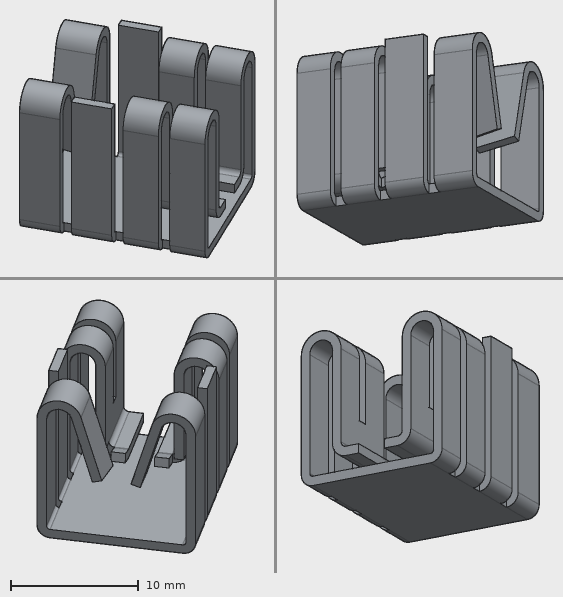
import cadquery as cq
import math

length = 15.24
width = 12.7
height = 12.7
sheet = 0.78

wide_finger = 3.32
narrow_finger = 2.9
gap = (length - 2 * wide_finger - 2 * narrow_finger) / 3
post_start = wide_finger + gap
rail_start = post_start + wide_finger + gap
last_start = rail_start + narrow_finger + gap

base_inner_radius = 0.27
base_radius = base_inner_radius + sheet
hook_inner_radius = 1.02
hook_radius = hook_inner_radius + sheet
flange_inner_radius = 0.43
flange_radius = flange_inner_radius + sheet

leg_angle = 16.5
leg_short = 5.84
leg_long = 6.46

slot_bottom = 5.8
flange_bottom = 1.97
flange_width = 1.16
tab_length = 1.35
tab_angle = 14.0

outer_face = -width / 2
hook_y = outer_face + hook_radius
hook_z = height - hook_radius
inner_wall_y = hook_y + hook_inner_radius
flange_bend_y = inner_wall_y + flange_radius
flange_bend_z = flange_bottom + flange_radius


def block(x, y, z, size_x, size_y, size_z):
    """Box given by its lowest corner and its size."""
    return cq.Workplane("XY").box(size_x, size_y, size_z, centered=False).translate((x, y, z))


def polar(center, radius, angle):
    """Point on a circle, with the angle in degrees."""
    turn = math.radians(angle)
    return (center[0] + radius * math.cos(turn), center[1] + radius * math.sin(turn))


def bend(plane, center, inner_radius, start, end):
    """Sketch of a sheet bend: a ring sector between two angles."""
    outer_radius = inner_radius + sheet
    middle = (start + end) / 2
    return (
        plane.moveTo(*polar(center, inner_radius, start))
        .lineTo(*polar(center, outer_radius, start))
        .threePointArc(polar(center, outer_radius, middle), polar(center, outer_radius, end))
        .lineTo(*polar(center, inner_radius, end))
        .threePointArc(polar(center, inner_radius, middle), polar(center, inner_radius, start))
        .close()
    )


def cross_bend(x, size_x, center, inner_radius, start, end):
    """Bend with its axis along X."""
    plane = cq.Workplane("YZ", origin=(x, 0, 0))
    return bend(plane, center, inner_radius, start, end).extrude(size_x)


def finger(x, size_x, top):
    """Upright finger with the bend that joins it to the base."""
    corner = (outer_face + base_radius, base_radius)
    wall = block(x, outer_face, base_radius, size_x, sheet, top - base_radius)
    return wall.union(cross_bend(x, size_x, corner, base_inner_radius, 180, 270))


def hooked_finger(x, size_x, end_angle):
    """Finger whose top curls inward, down to the given angle of the curl."""
    curl = cross_bend(x, size_x, (hook_y, hook_z), hook_inner_radius, end_angle, 180)
    return finger(x, size_x, hook_z).union(curl)


def front_leg():
    """Sloping leg that hangs from the front hook."""
    tangent_y, tangent_z = polar((hook_y, hook_z), hook_radius, leg_angle)
    normal_y, normal_z = polar((0, 0), 1, leg_angle)
    face = cq.Plane(origin=(0, tangent_y, tangent_z), xDir=(1, 0, 0), normal=(0, normal_y, normal_z))
    outline = [(0, 0), (wide_finger, 0), (wide_finger, leg_long), (0, leg_short)]
    return cq.Workplane(face).polyline(outline).close().extrude(-sheet)


def tab():
    """End of the flange, bent up towards -X."""
    root_x = rail_start + tab_length
    center = (root_x, flange_bend_z)
    bend_end = 270 - tab_angle
    plane = cq.Workplane("XZ", origin=(0, flange_bend_y, 0))
    curve = bend(plane, center, flange_inner_radius, bend_end, 270).extrude(-flange_width)

    bottom = polar(center, flange_radius, bend_end)
    top = polar(center, flange_inner_radius, bend_end)
    run = bottom[0] - rail_start
    rise = run * math.tan(math.radians(tab_angle))
    outline = [bottom, top, (top[0] - run, top[1] + rise), (rail_start, bottom[1] + rise)]
    flat = plane.polyline(outline).close().extrude(-flange_width)
    return curve.union(flat)


def rail():
    """Inner wall hung from the two narrow hooks, with its flange and tab."""
    wall = block(
        rail_start, inner_wall_y, flange_bend_z, length - rail_start, sheet, hook_z - flange_bend_z
    )
    slot = block(
        rail_start + narrow_finger, inner_wall_y, slot_bottom, gap, sheet, hook_z - slot_bottom
    )
    flange_start = rail_start + tab_length
    flange_length = length - flange_start
    corner = cross_bend(
        flange_start, flange_length, (flange_bend_y, flange_bend_z), flange_inner_radius, 180, 270
    )
    flange = block(flange_start, flange_bend_y, flange_bottom, flange_length, flange_width, sheet)
    return wall.cut(slot).union(corner).union(flange).union(tab())


side = (
    hooked_finger(0, wide_finger, leg_angle)
    .union(front_leg())
    .union(finger(post_start, wide_finger, height))
    .union(hooked_finger(rail_start, narrow_finger, 0))
    .union(hooked_finger(last_start, narrow_finger, 0))
    .union(rail())
)

base = block(0, outer_face + base_radius, 0, length, width - 2 * base_radius, sheet)
result = base.union(side).union(side.mirror("XZ"))